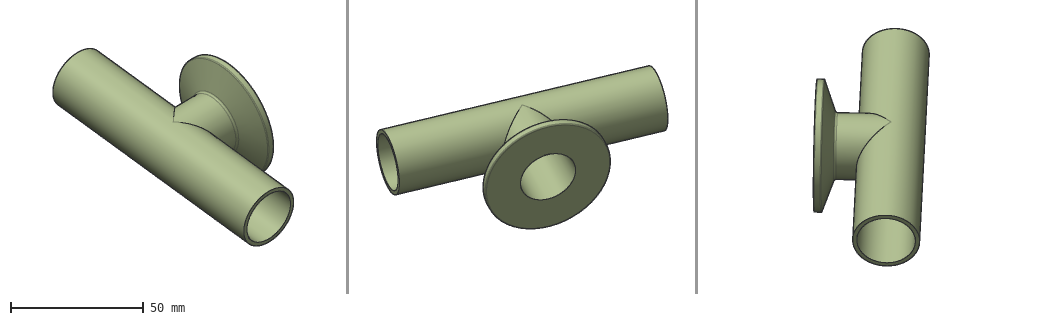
import cadquery as cq
import math

run_length = 108.0
tube_diameter = 25.4
bore_diameter = 22.1
flange_diameter = 50.4
overall_depth = 41.2
rim_thickness = 2.9
cone_angle = 20.0
rim_fillet = 0.4
neck_fillet = 1.0

tube_radius = tube_diameter / 2
bore_radius = bore_diameter / 2
flange_radius = flange_diameter / 2
face_distance = overall_depth - tube_radius
rim_back = face_distance - rim_thickness
cone_drop = (flange_radius - tube_radius) * math.tan(math.radians(cone_angle))
cone_end = rim_back - cone_drop


def run_cylinder(radius):
    """Cylinder along X, centred on the origin."""
    return cq.Workplane("YZ").circle(radius).extrude(run_length / 2, both=True)


def branch_body():
    """Branch tube and its clamp flange, revolved about the Y axis."""
    body = (
        cq.Workplane("XY")
        .polyline([
            (0, 0),
            (tube_radius, 0),
            (tube_radius, cone_end),
            (flange_radius, rim_back),
            (flange_radius, face_distance),
            (0, face_distance),
        ])
        .close()
        .revolve(360, (0, 0, 0), (0, 1, 0))
    )
    rim_edges = cq.selectors.BoxSelector(
        (-flange_radius, rim_back - rim_fillet, -flange_radius),
        (flange_radius, face_distance + rim_fillet, flange_radius),
    )
    neck_edge = cq.selectors.BoxSelector(
        (-tube_radius, cone_end - neck_fillet, -tube_radius),
        (tube_radius, cone_end + neck_fillet, tube_radius),
    )
    body = body.edges("%CIRCLE").edges(rim_edges).fillet(rim_fillet)
    return body.edges("%CIRCLE").edges(neck_edge).fillet(neck_fillet)


def branch_bore():
    """Bore from the tube axis out through the sealing face."""
    return cq.Workplane("XZ").circle(bore_radius).extrude(-face_distance)


result = (
    run_cylinder(tube_radius)
    .union(branch_body())
    .cut(run_cylinder(bore_radius))
    .cut(branch_bore())
)